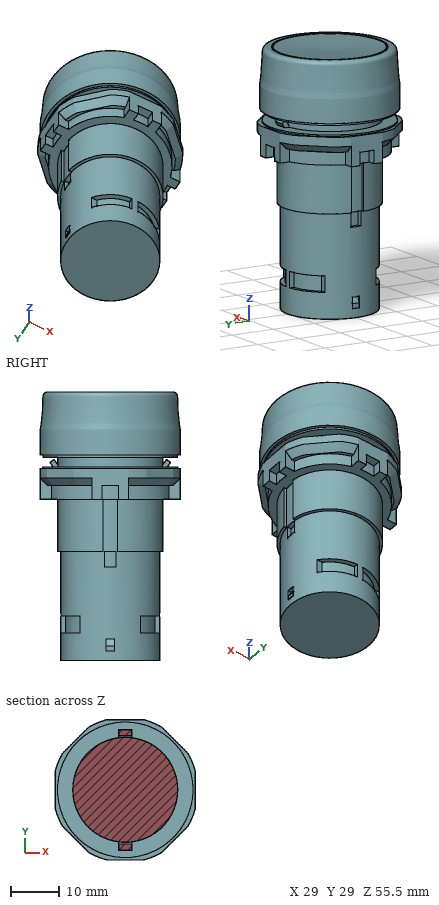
import cadquery as cq
import math

HEAD_DIAMETER = 29.0
TOTAL_HEIGHT = 55.5

BODY_DIAMETER = 20.5
COLLAR_DIAMETER = 21.8
NECK_DIAMETER = 21.72
COLLAR_BOTTOM_Z = 22.5
RECESS_DEPTH = 1.0

NUT_BOTTOM_Z = 33.3
NUT_FLANGE_BOTTOM_Z = 36.15
NUT_FLANGE_TOP_Z = 39.7
NUT_HUB_DIAMETER = 25.5
NUT_CORNER_DIAMETER = 30.0
NUT_ACROSS_FLATS = HEAD_DIAMETER
NUT_CHAMFER = 1.55
NUT_RIM_DIAMETER = 28.0
NUT_RIM_HEIGHT = 0.3
LUG_WIDTH = 7.6
LUG_NOTCH_WIDTH = 3.4

HEAD_BOTTOM_Z = 42.0
HEAD_LIP_DIAMETER = 27.8
HEAD_LIP_HEIGHT = 0.5
HEAD_BAND_TOP_Z = 47.65
LENS_BASE_Z = 48.9
LENS_BASE_RADIUS = 14.3
LENS_SHOULDER_RADIUS = 13.94
LENS_SHOULDER_HEIGHT = 0.95
LENS_RIM_RADIUS = 12.94
GROOVE_DIAMETER = 24.0
GROOVE_WIDTH = 0.25
GROOVE_DEPTH = 0.2
DISH_RADIUS = 11.5
DISH_DEPTH = 0.6

TAB_WIDTH = 2.75
TAB_THICKNESS = 1.07
TAB_LENGTH = 3.0
TAB_TIP_RADIUS = 12.05
TAB_TIP_Z = 41.25
TAB_TILT = 36.0

POCKET_BOTTOM_Z = 5.7
POCKET_HEIGHT = 3.5
POCKET_GAP = 1.5
POCKET_END_Y = 6.24
KEYWAY_WIDTH = 3.0
KEY_POCKET_WIDTH = 2.4
KEY_POCKET_BOTTOM_Z = 19.3
LATCH_WIDTH = 1.67
LATCH_BOTTOM_Z = 2.0
LATCH_RAMP_Z = 3.05
LATCH_TOP_Z = 4.45
LATCH_FLAT_DEPTH = 0.15
LATCH_RAMP_DEPTH = 0.8

HEAD_RADIUS = HEAD_DIAMETER / 2
BODY_RADIUS = BODY_DIAMETER / 2
COLLAR_RADIUS = COLLAR_DIAMETER / 2
RECESS_FLOOR_RADIUS = BODY_RADIUS - RECESS_DEPTH
LENS_SHOULDER_Z = TOTAL_HEIGHT - LENS_SHOULDER_HEIGHT
OCTAGON_SIDES = 8
HALF_OCTAGON_STEP = 180 / OCTAGON_SIDES
NUT_RIM_TOP_Z = NUT_FLANGE_TOP_Z + NUT_RIM_HEIGHT


def disc(radius, bottom_z, top_z):
    return cq.Workplane("XY").workplane(offset=bottom_z).circle(radius).extrude(top_z - bottom_z)


def block(x_min, x_max, y_min, y_max, z_min, z_max):
    size = (x_max - x_min, y_max - y_min, z_max - z_min)
    return cq.Workplane("XY").box(*size, centered=False).translate((x_min, y_min, z_min))


def make_head():
    """Revolved bezel and lens with a ring groove and shallow conical dish in the top."""
    lip_radius = HEAD_LIP_DIAMETER / 2
    lip_top_z = HEAD_BOTTOM_Z + HEAD_LIP_HEIGHT
    groove_outer_radius = GROOVE_DIAMETER / 2
    groove_inner_radius = groove_outer_radius - GROOVE_WIDTH
    groove_z = TOTAL_HEIGHT - GROOVE_DEPTH
    diagonal = math.sqrt(0.5)
    corner_mid_radius = LENS_RIM_RADIUS + (LENS_SHOULDER_RADIUS - LENS_RIM_RADIUS) * diagonal
    corner_mid_z = LENS_SHOULDER_Z + LENS_SHOULDER_HEIGHT * diagonal
    profile = (
        cq.Workplane("XZ")
        .moveTo(0, HEAD_BOTTOM_Z)
        .lineTo(lip_radius, HEAD_BOTTOM_Z)
        .lineTo(lip_radius, lip_top_z)
        .lineTo(HEAD_RADIUS, lip_top_z)
        .lineTo(HEAD_RADIUS, HEAD_BAND_TOP_Z)
        .lineTo(LENS_BASE_RADIUS, LENS_BASE_Z)
        .lineTo(LENS_SHOULDER_RADIUS, LENS_SHOULDER_Z)
        .threePointArc((corner_mid_radius, corner_mid_z), (LENS_RIM_RADIUS, TOTAL_HEIGHT))
        .lineTo(groove_outer_radius, TOTAL_HEIGHT)
        .lineTo(groove_outer_radius, groove_z)
        .lineTo(groove_inner_radius, groove_z)
        .lineTo(groove_inner_radius, TOTAL_HEIGHT)
        .lineTo(DISH_RADIUS, TOTAL_HEIGHT)
        .lineTo(0, TOTAL_HEIGHT - DISH_DEPTH)
        .close()
    )
    return profile.revolve(360, (0, 0, 0), (0, 1, 0))


def make_nut():
    """Octagonal flange with rounded corners, a hub and four notched lugs."""
    flats_circumscribed_diameter = NUT_ACROSS_FLATS / math.cos(math.radians(HALF_OCTAGON_STEP))
    octagon = (
        cq.Workplane("XY")
        .workplane(offset=NUT_FLANGE_BOTTOM_Z)
        .transformed(rotate=(0, 0, HALF_OCTAGON_STEP))
        .polygon(OCTAGON_SIDES, flats_circumscribed_diameter)
        .extrude(NUT_FLANGE_TOP_Z - NUT_FLANGE_BOTTOM_Z)
    )
    flange = octagon.intersect(disc(NUT_CORNER_DIAMETER / 2, NUT_FLANGE_BOTTOM_Z, NUT_FLANGE_TOP_Z))
    nut = flange.faces("<Z").chamfer(NUT_CHAMFER)

    hub_radius = NUT_HUB_DIAMETER / 2
    half_lug = LUG_WIDTH / 2
    half_notch = LUG_NOTCH_WIDTH / 2
    half_flats = NUT_ACROSS_FLATS / 2
    lug = block(0, half_flats, -half_lug, half_lug, NUT_BOTTOM_Z, NUT_FLANGE_TOP_Z)
    notch = block(0, half_flats, -half_notch, half_notch, NUT_BOTTOM_Z, NUT_FLANGE_BOTTOM_Z)
    notched_lug = lug.cut(notch)
    for angle in (0, 90, 180, 270):
        nut = nut.union(notched_lug.rotate((0, 0, 0), (0, 0, 1), angle))
    nut = nut.union(disc(hub_radius, NUT_BOTTOM_Z, NUT_FLANGE_TOP_Z))
    return nut.union(disc(NUT_RIM_DIAMETER / 2, NUT_FLANGE_TOP_Z, NUT_RIM_TOP_Z))


def make_tab(side):
    """Tilted catch tab on the +Y (side = 1) or -Y (side = -1) side, rooted in the nut."""
    tab = (
        cq.Workplane("XY")
        .box(TAB_WIDTH, TAB_THICKNESS, TAB_LENGTH)
        .translate((0, 0, -TAB_LENGTH / 2))
        .rotate((0, 0, 0), (1, 0, 0), -side * TAB_TILT)
    )
    return tab.translate((0, side * TAB_TIP_RADIUS, TAB_TIP_Z))


def make_pocket():
    """Curved-floor pocket in the +X, +Y quarter whose outer end is a wall parallel to X."""
    pocket_top_z = POCKET_BOTTOM_Z + POCKET_HEIGHT
    window = block(POCKET_GAP / 2, BODY_RADIUS, POCKET_END_Y, BODY_DIAMETER, POCKET_BOTTOM_Z, pocket_top_z)
    return window.cut(disc(RECESS_FLOOR_RADIUS, POCKET_BOTTOM_Z, pocket_top_z))


def make_collar():
    """Collar with a full-depth groove on the -X and +X sides, to be fitted around the body."""
    half_keyway = KEYWAY_WIDTH / 2
    collar = disc(COLLAR_RADIUS, COLLAR_BOTTOM_Z, NUT_BOTTOM_Z)
    groove = block(
        -COLLAR_DIAMETER, COLLAR_DIAMETER, -half_keyway, half_keyway, COLLAR_BOTTOM_Z, NUT_BOTTOM_Z
    )
    return collar.cut(groove)


def make_key_pocket():
    """Pocket in the body just below the collar groove, on the -X side."""
    half_pocket = KEY_POCKET_WIDTH / 2
    window = block(-COLLAR_RADIUS, 0, -half_pocket, half_pocket, KEY_POCKET_BOTTOM_Z, COLLAR_BOTTOM_Z)
    return window.cut(disc(RECESS_FLOOR_RADIUS, KEY_POCKET_BOTTOM_Z, COLLAR_BOTTOM_Z))


def make_latch_window():
    """Small window on the -X side: flat floor just below the surface, ramping inward above it."""
    flat_x = -BODY_RADIUS + LATCH_FLAT_DEPTH
    ramp_end_x = -BODY_RADIUS + LATCH_RAMP_DEPTH
    outline = [
        (-COLLAR_RADIUS, LATCH_BOTTOM_Z),
        (flat_x, LATCH_BOTTOM_Z),
        (flat_x, LATCH_RAMP_Z),
        (ramp_end_x, LATCH_TOP_Z),
        (-COLLAR_RADIUS, LATCH_TOP_Z),
    ]
    return cq.Workplane("XZ").polyline(outline).close().extrude(LATCH_WIDTH / 2, both=True)


result = disc(BODY_RADIUS, 0, NUT_BOTTOM_Z)

near_pocket = make_pocket()
far_pocket = near_pocket.mirror("YZ")
for pocket_turn in (0, 180):
    for pocket in (near_pocket, far_pocket):
        result = result.cut(pocket.rotate((0, 0, 0), (0, 0, 1), pocket_turn))

for side_cut in (make_latch_window(), make_key_pocket()):
    result = result.cut(side_cut).cut(side_cut.mirror("YZ"))

neck = disc(NECK_DIAMETER / 2, NUT_BOTTOM_Z, HEAD_BOTTOM_Z)
result = result.union(make_collar()).union(neck).union(make_nut()).union(make_head())
for tab_side in (1, -1):
    result = result.union(make_tab(tab_side))